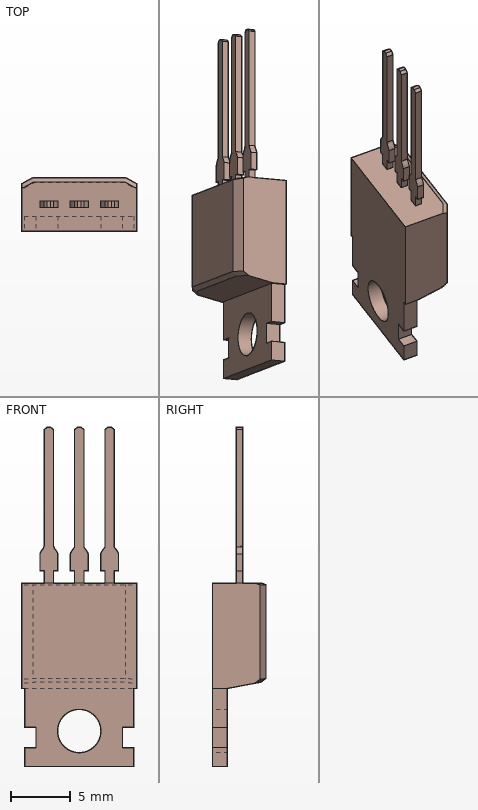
import cadquery as cq
import math

TAB_WIDTH = 9.15
TAB_THICKNESS = 1.25
HOLE_DIAMETER = 3.6
HOLE_HEIGHT = 2.98
NOTCH_DEPTH = 0.95
NOTCH_BOTTOM = 1.6
NOTCH_TOP = 3.28

BODY_WIDTH = 9.65
BODY_DEPTH = 4.5
BODY_BOTTOM = 6.53
BODY_TOP = 15.35
CORNER_SIDE = 0.95
CORNER_BACK = 0.52
UNDERSIDE_ANGLE = 10.6

TOP_BEVEL_INSET = 0.36
TOP_BEVEL_DROP = 0.15
BOTTOM_BEVEL_INSET = 0.42
BOTTOM_BEVEL_DROP = 0.25

OVERALL_HEIGHT = 28.38
LEAD_PITCH = 2.54
LEAD_THICKNESS = 0.57
LEAD_CENTRE_Y = 2.265
LEAD_HALF_WIDTH = 0.4
TIP_HALF_WIDTH = 0.15
TIP_HEIGHT = 0.2
SHOULDER_HALF_WIDTH = 0.76
SHOULDER_KNEE_HALF_WIDTH = 0.63
SHOULDER_BOTTOM = 1.02
SHOULDER_TOP = 2.45
SHOULDER_KNEE = 2.7
SHOULDER_NECK = 3.0
LEFT_NECK_HALF_WIDTH = 0.48
LEFT_NECK_BOTTOM = 2.9
LEFT_NECK_TOP = 3.1

CUTTER_SIZE = 40.0


def cut_beyond(solid, point, along, normal):
    """Remove everything on the normal side of a plane through the point."""
    plane = cq.Plane(origin=point, xDir=along, normal=normal)
    cutter = cq.Workplane(plane).box(CUTTER_SIZE, CUTTER_SIZE, CUTTER_SIZE, centered=(True, True, False))
    return solid.cut(cutter)


def make_tab():
    tab_height = BODY_BOTTOM + TAB_THICKNESS
    tab = cq.Workplane("XY").box(TAB_WIDTH, TAB_THICKNESS, tab_height, centered=(True, False, False))
    notch_height = NOTCH_TOP - NOTCH_BOTTOM
    for side in (-1, 1):
        notch = cq.Workplane("XY").box(
            2 * NOTCH_DEPTH, CUTTER_SIZE, notch_height, centered=(True, True, False)
        )
        tab = tab.cut(notch.translate((side * TAB_WIDTH / 2, 0, NOTCH_BOTTOM)))
    hole_outline = cq.Workplane("XZ").center(0, HOLE_HEIGHT).circle(HOLE_DIAMETER / 2)
    hole = hole_outline.extrude(CUTTER_SIZE, both=True)
    return tab.cut(hole)


def make_body():
    body_height = BODY_TOP - BODY_BOTTOM
    body = cq.Workplane("XY").box(BODY_WIDTH, BODY_DEPTH, body_height, centered=(True, False, False))
    body = body.translate((0, 0, BODY_BOTTOM))

    slope = math.tan(math.radians(UNDERSIDE_ANGLE))
    body = cut_beyond(body, (0, TAB_THICKNESS, BODY_BOTTOM), (1, 0, 0), (0, slope, -1))

    corner_length = math.hypot(CORNER_SIDE, CORNER_BACK)
    outward_x = CORNER_BACK / corner_length
    outward_y = CORNER_SIDE / corner_length
    corner_x = BODY_WIDTH / 2 - CORNER_SIDE
    rear_faces = [
        (-corner_x, -outward_x, outward_y),
        (0, 0, 1),
        (corner_x, outward_x, outward_y),
    ]
    top_z = BODY_TOP - TOP_BEVEL_DROP
    bottom_z = BODY_BOTTOM + (BODY_DEPTH - TAB_THICKNESS) * slope + BOTTOM_BEVEL_DROP
    bottom_slope = BOTTOM_BEVEL_DROP / BOTTOM_BEVEL_INSET
    for x, out_x, out_y in rear_faces:
        along = (out_y, -out_x, 0)
        body = cut_beyond(body, (x, BODY_DEPTH, 0), along, (out_x, out_y, 0))
        top_normal = (out_x * TOP_BEVEL_DROP, out_y * TOP_BEVEL_DROP, TOP_BEVEL_INSET)
        body = cut_beyond(body, (x, BODY_DEPTH, top_z), along, top_normal)
        rim = (out_y, -out_x, -out_x * slope)
        bottom_normal = (out_x * bottom_slope, out_y * bottom_slope + slope, -1)
        body = cut_beyond(body, (x, BODY_DEPTH, bottom_z), rim, bottom_normal)
    return body


def make_lead(x, neck):
    """Flat lead at x; neck lists (half width, height above body) points."""
    right_side = [
        (LEAD_HALF_WIDTH, BODY_TOP),
        (LEAD_HALF_WIDTH, BODY_TOP + SHOULDER_BOTTOM),
        (SHOULDER_HALF_WIDTH, BODY_TOP + SHOULDER_BOTTOM),
        (SHOULDER_HALF_WIDTH, BODY_TOP + SHOULDER_TOP),
        (SHOULDER_KNEE_HALF_WIDTH, BODY_TOP + SHOULDER_KNEE),
        *[(half_width, BODY_TOP + height) for half_width, height in neck],
        (LEAD_HALF_WIDTH, OVERALL_HEIGHT - TIP_HEIGHT),
        (TIP_HALF_WIDTH, OVERALL_HEIGHT),
    ]
    left_side = [(-half_width, z) for half_width, z in reversed(right_side)]
    outline = cq.Workplane("XZ").polyline(right_side + left_side).close()
    lead = outline.extrude(LEAD_THICKNESS / 2, both=True)
    return lead.translate((x, LEAD_CENTRE_Y, 0))


plain_neck = [(LEAD_HALF_WIDTH, SHOULDER_NECK)]
stepped_neck = [(LEFT_NECK_HALF_WIDTH, LEFT_NECK_BOTTOM), (LEAD_HALF_WIDTH, LEFT_NECK_TOP)]
leads = [(-LEAD_PITCH, stepped_neck), (0, plain_neck), (LEAD_PITCH, plain_neck)]

result = make_tab().union(make_body())
for lead_x, lead_neck in leads:
    result = result.union(make_lead(lead_x, lead_neck))